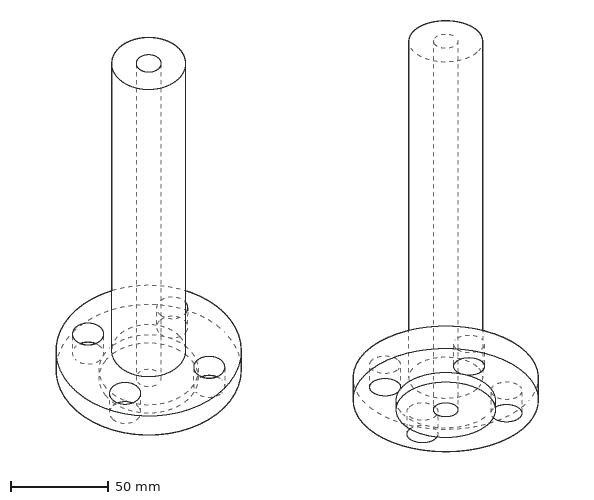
import cadquery as cq

total_height = 227.8

flange_diameter = 95.2
flange_thickness = 14.0
raised_face_diameter = 51.0
raised_face_height = 6.0

pipe_diameter = 38.0
bore_diameter = 12.8
pipe_length = total_height - raised_face_height - flange_thickness

bolt_hole_count = 4
bolt_hole_diameter = 16.0
bolt_circle_diameter = 66.7


def make_body():
    """Stack the raised face, flange and pipe along Z, starting at Z = 0."""
    return (
        cq.Workplane("XY")
        .circle(raised_face_diameter / 2)
        .extrude(raised_face_height)
        .faces(">Z")
        .workplane()
        .circle(flange_diameter / 2)
        .extrude(flange_thickness)
        .faces(">Z")
        .workplane()
        .circle(pipe_diameter / 2)
        .extrude(pipe_length)
    )


def make_bore():
    """Cylinder that opens the part from end to end."""
    return cq.Workplane("XY").circle(bore_diameter / 2).extrude(total_height)


def make_bolt_holes():
    """Ring of cylinders that pass through the flange."""
    return (
        cq.Workplane("XY", origin=(0, 0, raised_face_height))
        .polarArray(bolt_circle_diameter / 2, 0, 360, bolt_hole_count)
        .circle(bolt_hole_diameter / 2)
        .extrude(flange_thickness)
    )


result = make_body().cut(make_bore()).cut(make_bolt_holes())